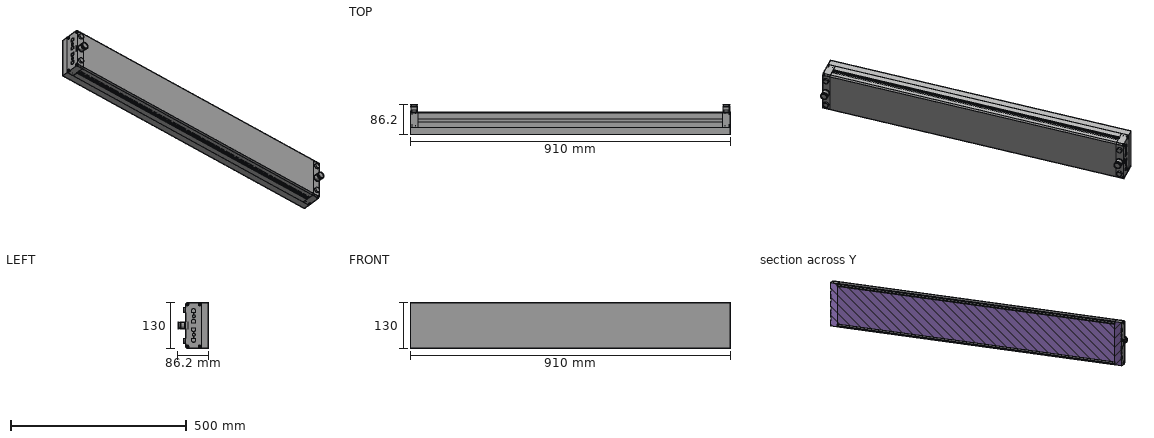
import cadquery as cq

LENGTH = 910.0
HEIGHT = 130.0
TOTAL_DEPTH = 86.2

PANEL_DEPTH = 20.0
REAR_Y = 65.0
CAP_WIDTH = 22.0
REAR_CHAMFER = 4.0
BACK_DEPTH = REAR_Y - PANEL_DEPTH
BACK_MID_Y = PANEL_DEPTH + BACK_DEPTH / 2

SLOT_Y = 40.5
SLOT_MOUTH_WIDTH = 8.0
SLOT_LIP = 3.0
SLOT_INNER_WIDTH = 14.0
SLOT_INNER_DEPTH = 5.0

CONNECTOR_LENGTH = TOTAL_DEPTH - REAR_Y
FLANGE_DIAMETER = 20.0
BODY_DIAMETER = 19.6
GROOVE_DIAMETER = 17.0
BASE_FLANGE = 2.5
RIB = 2.5
GROOVE = 4.0
END_FLANGE = 1.0
BODY_LENGTH = CONNECTOR_LENGTH - BASE_FLANGE - RIB - GROOVE - END_FLANGE

FOOT_DIAMETER = 15.0
FOOT_LENGTH = 5.5
FOOT_Z = 44.0

SCREW_INSET = 5.0
SCREW_HEAD_DIAMETER = 8.0
SCREW_HEAD_DEPTH = 4.0
SCREW_HOLE_DIAMETER = 4.5
SCREW_HOLE_DEPTH = 15.0

POCKET_Y = BACK_MID_Y
POCKET_WIDTH = 11.0
POCKET_DEPTH = 1.0
ARCH_HEIGHT = 11.0
INNER_ARCH_BASE_Z = 7.0
OUTER_ARCH_BASE_Z = 37.0
ROUND_POCKET_DIAMETER = 8.0
ROUND_POCKET_Y = POCKET_Y - 1.0
ROUND_POCKET_Z = 26.0
NECK_WIDTH = 1.5
NECK_END_Z = 34.0
WINDOW_Y = REAR_Y - 6.7
WINDOW_WIDTH = 1.0
WINDOW_HEIGHT = 20.0
WINDOW_DEPTH = 1.0


def back_block(length):
    """Block behind the panel, centred on X, with its two long rear edges chamfered."""
    block = cq.Workplane("XY").box(length, BACK_DEPTH, HEIGHT)
    block = block.edges("|X and >Y").chamfer(REAR_CHAMFER)
    return block.translate((0, BACK_MID_Y, 0))


def make_panel():
    """Plain front panel over the full length."""
    return cq.Workplane("XY").box(LENGTH, PANEL_DEPTH, HEIGHT).translate((0, PANEL_DEPTH / 2, 0))


def make_profile():
    """Long profile between the caps, with a T-slot along its top and bottom."""
    length = LENGTH - 2 * CAP_WIDTH
    profile = back_block(length)
    for side in (1, -1):
        mouth_z = side * (HEIGHT / 2 - SLOT_LIP / 2)
        inner_z = side * (HEIGHT / 2 - SLOT_LIP - SLOT_INNER_DEPTH / 2)
        mouth = cq.Workplane("XY").box(length, SLOT_MOUTH_WIDTH, SLOT_LIP)
        inner = cq.Workplane("XY").box(length, SLOT_INNER_WIDTH, SLOT_INNER_DEPTH)
        profile = profile.cut(mouth.translate((0, SLOT_Y, mouth_z)))
        profile = profile.cut(inner.translate((0, SLOT_Y, inner_z)))
    return profile


def rear_cylinder(diameter, start, length, z=0.0):
    """Cylinder pointing to +Y, starting at a distance behind the rear face."""
    disc = cq.Workplane("XZ", origin=(0, REAR_Y + start, z)).circle(diameter / 2)
    return disc.extrude(-length)


def add_connector(cap):
    """Round connector: base flange, body, rib, groove and end flange in line."""
    sections = [
        (FLANGE_DIAMETER, BASE_FLANGE),
        (BODY_DIAMETER, BODY_LENGTH),
        (FLANGE_DIAMETER, RIB),
        (GROOVE_DIAMETER, GROOVE),
        (FLANGE_DIAMETER, END_FLANGE),
    ]
    start = 0
    for diameter, length in sections:
        cap = cap.union(rear_cylinder(diameter, start, length))
        start += length
    return cap


def end_face():
    """Sketch plane on the outer end face: local x is Y, local y is Z, extruding inwards is negative."""
    return cq.Workplane("YZ", origin=(CAP_WIDTH / 2, 0, 0))


def arch_pocket(base_z, side):
    """Pocket with a flat base towards the middle and a round end away from it."""
    radius = POCKET_WIDTH / 2
    shoulder_z = side * (base_z + ARCH_HEIGHT - radius)
    outline = (
        end_face()
        .moveTo(POCKET_Y - radius, side * base_z)
        .lineTo(POCKET_Y + radius, side * base_z)
        .lineTo(POCKET_Y + radius, shoulder_z)
        .threePointArc((POCKET_Y, side * (base_z + ARCH_HEIGHT)), (POCKET_Y - radius, shoulder_z))
        .close()
    )
    return outline.extrude(-POCKET_DEPTH)


def round_pocket(side):
    """Round pocket with a narrow neck that points to the outer arched pocket."""
    circle = end_face().center(ROUND_POCKET_Y, side * ROUND_POCKET_Z).circle(ROUND_POCKET_DIAMETER / 2)
    neck_length = NECK_END_Z - ROUND_POCKET_Z
    neck_mid_z = side * (ROUND_POCKET_Z + neck_length / 2)
    neck = end_face().center(ROUND_POCKET_Y, neck_mid_z).rect(NECK_WIDTH, neck_length)
    return circle.extrude(-POCKET_DEPTH).union(neck.extrude(-POCKET_DEPTH))


def cut_end_face(cap):
    """Corner screw recesses, pockets and narrow slot in the outer end face."""
    screw_z = HEIGHT / 2 - SCREW_INSET
    screws = [
        (y, z)
        for y in (PANEL_DEPTH + SCREW_INSET, REAR_Y - SCREW_INSET)
        for z in (-screw_z, screw_z)
    ]
    cap = cap.cut(end_face().pushPoints(screws).circle(SCREW_HEAD_DIAMETER / 2).extrude(-SCREW_HEAD_DEPTH))
    cap = cap.cut(end_face().pushPoints(screws).circle(SCREW_HOLE_DIAMETER / 2).extrude(-SCREW_HOLE_DEPTH))
    for side in (1, -1):
        for base_z in (INNER_ARCH_BASE_Z, OUTER_ARCH_BASE_Z):
            cap = cap.cut(arch_pocket(base_z, side))
        cap = cap.cut(round_pocket(side))
    window = end_face().center(WINDOW_Y, 0).rect(WINDOW_WIDTH, WINDOW_HEIGHT)
    return cap.cut(window.extrude(-WINDOW_DEPTH))


def make_end_cap():
    """End cap for the +X end, centred on X = 0, with its connector and feet."""
    cap = cut_end_face(back_block(CAP_WIDTH))
    cap = add_connector(cap)
    for side in (1, -1):
        cap = cap.union(rear_cylinder(FOOT_DIAMETER, 0, FOOT_LENGTH, side * FOOT_Z))
    return cap


panel = make_panel()
profile = make_profile()

end_caps = []
for at_left_end in (False, True):
    cap = make_end_cap().translate(((LENGTH - CAP_WIDTH) / 2, 0, 0))
    if at_left_end:
        cap = cap.mirror("YZ")
    end_caps.append(cap.val())

result = cq.Compound.makeCompound([panel.val(), profile.val(), *end_caps])